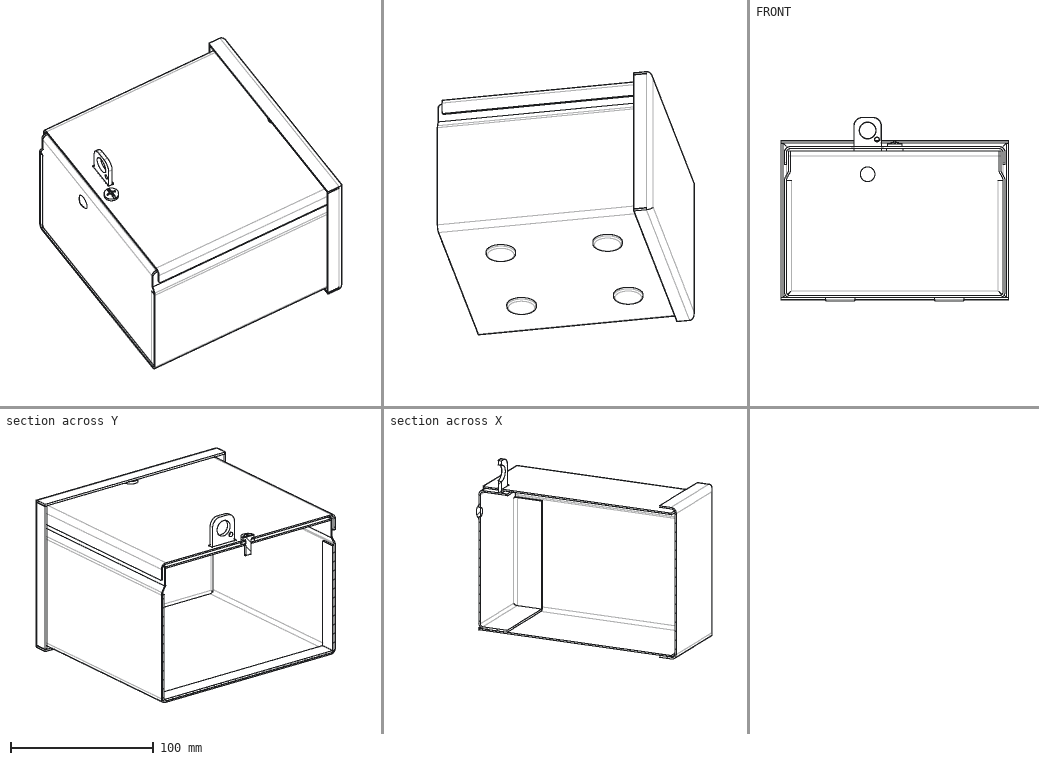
import cadquery as cq
import math


SHEET = 1.5
HOOD_WIDTH = 160.0
HOOD_REAR_Y = 154.0
HOOD_DEPTH = 13.1
HOOD_TOP_Z = 112.6
HOOD_BEND = 4.0
PAD_HEIGHT = 2.4
SEAM_WIDTH = 0.3

hood_front_y = HOOD_REAR_Y - HOOD_DEPTH
hood_bend_y = HOOD_REAR_Y - HOOD_BEND
shell_bottom_z = PAD_HEIGHT
hood_bottom_z = shell_bottom_z - SHEET

SHELL_WIDTH = 154.9
SHELL_BEND = 4.0
SHELL_TOP_Z = 105.5
JOGGLE_LOW_Z = 85.9
JOGGLE_HIGH_Z = 91.2
JOGGLE_SHIFT = 2.9
JOGGLE_BEND = 3.8
PAD_DIAMETER = 20.8
PAD_ROUND = 1.1
PAD_X = 38.2
PAD_FRONT_Y = 37.9
PAD_REAR_Y = 114.2

shell_half = SHELL_WIDTH / 2
shell_inner_half = shell_half - SHEET
shell_floor_z = shell_bottom_z + SHEET
shell_length = hood_bend_y

PANEL_BEND = 3.4
PANEL_FLANGE = 22.4
SIDE_FLANGE_TOP_Z = 84.6

COVER_FRONT_Y = 3.4
COVER_TOP_Z = 108.5
COVER_BEND = 4.0
COVER_LIP_Z = 96.0
COVER_LIP_ROUND = 1.3

cover_under_z = COVER_TOP_Z - SHEET
washer_height = cover_under_z - SHELL_TOP_Z

HASP_X = -19.0
HASP_FRONT_Y = 15.0
HASP_WIDTH = 19.4
HASP_TOP_Z = 129.1
HASP_CORNER = 6.2
LOCK_HOLE = 11.5
LOCK_HOLE_Z = 119.8
SEAL_HOLE = 3.2
SEAL_HOLE_X = 6.5
SEAL_HOLE_Z = 113.5
SLOT_WIDTH = 21.8
SLOT_CLEARANCE = 0.6
SLOT_CORNER = 0.8

hasp_thickness = 2 * SHEET

HEAD_DIAMETER = 10.2
SHANK_DIAMETER = 5.0
SCREW_Y = 11.5
SCREW_TIP_Z = 96.0
SCREW_RIM = 1.8
SCREW_CROWN = 3.2
DRIVE_SLOT = 1.5
DRIVE_ARM = 6.5
DRIVE_ARM_WIDTH = 1.0
DRIVE_DEPTH = 1.5
WASHER_DIAMETER = 11.5
STUD_HEAD = 1.9
STUD_SETBACK = 0.3
RIVET_Z = 89.1
RIVET_CROWN = 2.0
RIVET_SHANK = 6.4

stud_y = hood_front_y + STUD_SETBACK + HEAD_DIAMETER / 2


def block(width, y_from, y_to, z_from, z_to):
    """Box centred on X between the given Y and Z limits."""
    size_y = y_to - y_from
    size_z = z_to - z_from
    return cq.Workplane("XY").box(width, size_y, size_z, centered=(True, False, False)).translate(
        (0, y_from, z_from)
    )


def upright_cylinder(diameter, x, y, z_from, z_to):
    """Cylinder along Z."""
    return cq.Workplane("XY", origin=(x, y, z_from)).circle(diameter / 2).extrude(z_to - z_from)


def level_cylinder(diameter, x, z, y_from, y_to):
    """Cylinder along Y."""
    return cq.Workplane("XZ", origin=(x, y_from, z)).circle(diameter / 2).extrude(y_from - y_to)


def domed_head(diameter, rim, crown):
    """Round head along Z, seated on z = 0, with a straight rim and a spherical crown."""
    radius = diameter / 2
    rise = crown - rim
    sphere_radius = (radius**2 + rise**2) / (2 * rise)
    half_angle = math.asin(radius / sphere_radius) / 2
    mid_x = sphere_radius * math.sin(half_angle)
    mid_z = crown - sphere_radius * (1 - math.cos(half_angle))
    section = cq.Workplane("XZ").lineTo(radius, 0)
    if rim > 0:
        section = section.lineTo(radius, rim)
    section = section.threePointArc((mid_x, mid_z), (0, crown)).close()
    return section.revolve(360, (0, 0, 0), (0, 1, 0))


def side_to_side(half_width, floor_z, length):
    """Solid with vertical sides that step inward at the joggle, extruded along Y."""
    upper_half = half_width - JOGGLE_SHIFT
    right_side = [
        (half_width, floor_z),
        (half_width, JOGGLE_LOW_Z),
        (upper_half, JOGGLE_HIGH_Z),
        (upper_half, SHELL_TOP_Z),
    ]
    left_side = [(-x, z) for x, z in reversed(right_side)]
    return cq.Workplane("XZ").polyline(right_side + left_side).close().extrude(-length)


def joggle_edges(half_width):
    """Selector for the two outward edges at the foot of the joggle."""
    reach = 0.2
    boxes = [
        cq.selectors.BoxSelector(
            (side * half_width - reach, -reach, JOGGLE_LOW_Z - reach),
            (side * half_width + reach, HOOD_REAR_Y, JOGGLE_LOW_Z + reach),
        )
        for side in (-1, 1)
    ]
    return boxes[0] + boxes[1]


def round_joggle_solid(half_width, floor_z, length, bottom_bend, joggle_bend):
    """Joggled solid with its bottom and joggle bends rounded."""
    solid = side_to_side(half_width, floor_z, length)
    solid = solid.edges("|Y and <Z").fillet(bottom_bend)
    return solid.edges(joggle_edges(half_width)).fillet(joggle_bend)


def make_shell():
    outer = round_joggle_solid(shell_half, shell_bottom_z, shell_length, SHELL_BEND, JOGGLE_BEND)
    inner = round_joggle_solid(
        shell_inner_half, shell_floor_z, shell_length, SHELL_BEND - SHEET, JOGGLE_BEND - SHEET
    )
    shell = outer.cut(inner)
    shell = shell.faces(">Z").edges("<Y").fillet(PANEL_BEND)
    for x in (-PAD_X, PAD_X):
        for y in (PAD_FRONT_Y, PAD_REAR_Y):
            pad = upright_cylinder(PAD_DIAMETER, x, y, 0, shell_bottom_z + SHEET / 2)
            shell = shell.union(pad.faces("<Z").edges().fillet(PAD_ROUND))
    return shell


def make_end_panel():
    lower = block(2 * shell_inner_half, 0, PANEL_FLANGE, shell_floor_z, SIDE_FLANGE_TOP_Z)
    lower = lower.edges("<Y except >Z").fillet(PANEL_BEND)
    lower = lower.faces(">Y or >Z").shell(-SHEET)

    inner_bend = PANEL_BEND - SHEET
    upper = block(SHELL_WIDTH, 0, PANEL_FLANGE, SIDE_FLANGE_TOP_Z, SHELL_TOP_Z)
    upper = upper.edges("|X and >Z and <Y").fillet(PANEL_BEND)
    space = block(SHELL_WIDTH, SHEET, PANEL_FLANGE, SIDE_FLANGE_TOP_Z, SHELL_TOP_Z - SHEET)
    upper = upper.cut(space.edges("|X and >Z and <Y").fillet(inner_bend))

    trim = round_joggle_solid(
        shell_inner_half, shell_floor_z, shell_length, SHELL_BEND - SHEET, JOGGLE_BEND - SHEET
    )
    panel = lower.union(upper).intersect(trim)

    panel = panel.cut(level_cylinder(RIVET_SHANK, HASP_X, RIVET_Z, 0, SHEET))
    return panel.cut(upright_cylinder(SHANK_DIAMETER, 0, SCREW_Y, SCREW_TIP_Z, SHELL_TOP_Z))


def make_hood():
    hood = block(HOOD_WIDTH, hood_front_y, HOOD_REAR_Y, hood_bottom_z, HOOD_TOP_Z)
    hood = hood.faces(">Y").edges().fillet(HOOD_BEND)
    inside = block(
        HOOD_WIDTH - 2 * SHEET,
        hood_front_y,
        HOOD_REAR_Y - SHEET,
        hood_bottom_z + SHEET,
        HOOD_TOP_Z - SHEET,
    )
    hood = hood.cut(inside.faces(">Y").edges().fillet(HOOD_BEND - SHEET))
    top_seam_z = HOOD_TOP_Z - SHEET - SEAM_WIDTH
    for z in (top_seam_z, shell_bottom_z):
        hood = hood.cut(block(HOOD_WIDTH, hood_front_y, hood_bend_y, z, z + SEAM_WIDTH))
    return hood


def make_cover():
    cover = block(SHELL_WIDTH, COVER_FRONT_Y, shell_length, COVER_LIP_Z, COVER_TOP_Z)
    cover = cover.edges("|Y and >Z").fillet(COVER_BEND)
    inside = block(2 * shell_inner_half, COVER_FRONT_Y, shell_length, COVER_LIP_Z, cover_under_z)
    cover = cover.cut(inside.edges("|Y and >Z").fillet(COVER_BEND - SHEET))
    cover = cover.faces("<Z").edges("<Y").fillet(COVER_LIP_ROUND)

    slot = block(
        SLOT_WIDTH,
        HASP_FRONT_Y - SLOT_CLEARANCE,
        HASP_FRONT_Y + hasp_thickness + SLOT_CLEARANCE,
        cover_under_z,
        COVER_TOP_Z,
    )
    slot = slot.edges("|Z and >Y").fillet(SLOT_CORNER)
    cover = cover.cut(slot.translate((HASP_X, 0, 0)))
    for y in (SCREW_Y, stud_y):
        cover = cover.cut(upright_cylinder(SHANK_DIAMETER, 0, y, cover_under_z, COVER_TOP_Z))
    return cover


def make_hasp():
    back_y = HASP_FRONT_Y + hasp_thickness
    hasp = block(HASP_WIDTH, HASP_FRONT_Y, back_y, SHELL_TOP_Z, HASP_TOP_Z)
    hasp = hasp.edges("|Y and >Z").fillet(HASP_CORNER)
    hasp = hasp.cut(level_cylinder(LOCK_HOLE, 0, LOCK_HOLE_Z, HASP_FRONT_Y, back_y))
    hasp = hasp.cut(level_cylinder(SEAL_HOLE, SEAL_HOLE_X, SEAL_HOLE_Z, HASP_FRONT_Y, back_y))
    return hasp.translate((HASP_X, 0, 0))


def make_cover_screw():
    head = domed_head(HEAD_DIAMETER, SCREW_RIM, SCREW_CROWN)
    recess_z = SCREW_CROWN - DRIVE_DEPTH
    half_slot = DRIVE_SLOT / 2
    half_arm = DRIVE_ARM / 2
    head = head.cut(block(HEAD_DIAMETER, -half_slot, half_slot, recess_z, SCREW_CROWN))
    head = head.cut(block(DRIVE_ARM_WIDTH, -half_arm, half_arm, recess_z, SCREW_CROWN))
    head = head.translate((0, SCREW_Y, COVER_TOP_Z))
    return head.union(upright_cylinder(SHANK_DIAMETER, 0, SCREW_Y, SCREW_TIP_Z, COVER_TOP_Z))


def make_washer():
    washer = upright_cylinder(WASHER_DIAMETER, 0, SCREW_Y, SHELL_TOP_Z, cover_under_z)
    return washer.faces(">Z").workplane().hole(SHANK_DIAMETER, washer_height)


def make_hood_stud():
    head = upright_cylinder(HEAD_DIAMETER, 0, stud_y, COVER_TOP_Z, COVER_TOP_Z + STUD_HEAD)
    return head.union(upright_cylinder(SHANK_DIAMETER, 0, stud_y, cover_under_z, COVER_TOP_Z))


def make_rivet():
    head = domed_head(HEAD_DIAMETER, 0, RIVET_CROWN)
    head = head.rotate((0, 0, 0), (1, 0, 0), 90).translate((HASP_X, 0, RIVET_Z))
    return head.union(level_cylinder(RIVET_SHANK, HASP_X, RIVET_Z, 0, SHEET))


shell = make_shell().solids()
end_panel = make_end_panel().solids()
hood = make_hood().solids()
cover = make_cover().solids()
hasp = make_hasp().solids()
cover_screw = make_cover_screw().solids()
washer = make_washer().solids()
hood_stud = make_hood_stud().solids()
rivet = make_rivet().solids()

result = cq.Compound.makeCompound(
    [
        shell.val(),
        end_panel.val(),
        hood.val(),
        cover.val(),
        hasp.val(),
        cover_screw.val(),
        washer.val(),
        hood_stud.val(),
        rivet.val(),
    ]
)